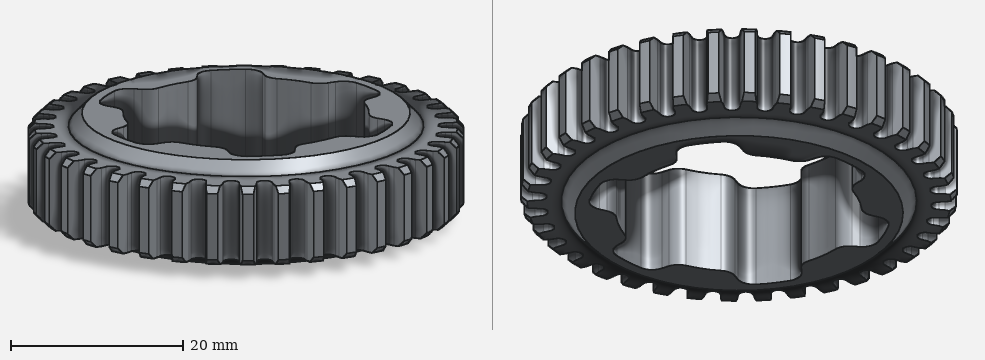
import cadquery as cq
import math

tip_radius = 25.35
hub_height = 12.7
gear_width = 9.55

hub_base_radius = 20.65
hub_top_radius = 19.05

tooth_count = 38
tip_chamfer = 0.75
root_radius = 22.35
root_arc_radius = 0.9
flank_kink_radius = 24.0
flank_kink_half_gap = 1.0
tip_half_gap = 1.45

bore_radius = 17.65
land_count = 6
land_radius = 14.3
land_half_width = 3.25
land_flank_angle = 39.0
land_fillet = 2.05

overrun = 1.0


def make_body():
    """Revolve the toothed band together with its two conical hub faces."""
    half_gear = gear_width / 2
    half_hub = hub_height / 2
    upper_profile = [
        (tip_radius, half_gear - tip_chamfer),
        (tip_radius - tip_chamfer, half_gear),
        (hub_base_radius, half_gear),
        (hub_top_radius, half_hub),
    ]
    lower_profile = [(r, -z) for r, z in reversed(upper_profile)]
    profile = [(0, half_hub), (0, -half_hub)] + lower_profile + upper_profile
    return cq.Workplane("XZ").polyline(profile).close().revolve(360, (0, 0), (0, 1))


def make_tooth_gap():
    """Cutter for one tooth gap, centred on the +X axis."""
    root_centre = root_radius + root_arc_radius
    outer = tip_radius + overrun
    return (
        cq.Workplane("XY")
        .workplane(offset=-gear_width / 2)
        .moveTo(root_centre, -root_arc_radius)
        .threePointArc((root_radius, 0), (root_centre, root_arc_radius))
        .lineTo(flank_kink_radius, flank_kink_half_gap)
        .lineTo(tip_radius, tip_half_gap)
        .lineTo(outer, tip_half_gap)
        .lineTo(outer, -tip_half_gap)
        .lineTo(tip_radius, -tip_half_gap)
        .lineTo(flank_kink_radius, -flank_kink_half_gap)
        .close()
        .extrude(gear_width)
    )


def make_bore():
    """Bore cutter: a cylinder relieved by the lands, with rounded corners."""
    base = cq.Workplane("XY").workplane(offset=-hub_height / 2)
    bore = base.circle(bore_radius).extrude(hub_height)
    inner_cylinder = base.circle(land_radius).extrude(hub_height)

    land_start = math.sqrt(land_radius**2 - land_half_width**2)
    land_end = bore_radius + overrun
    end_half_width = land_half_width + (land_end - land_start) * math.tan(math.radians(land_flank_angle))
    land = (
        base.polyline([
            (land_start, -land_half_width),
            (land_end, -end_half_width),
            (land_end, end_half_width),
            (land_start, land_half_width),
        ])
        .close()
        .extrude(hub_height)
        .cut(inner_cylinder)
    )
    land_pitch = 360 / land_count
    for i in range(land_count):
        bore = bore.cut(land.rotate((0, 0, 0), (0, 0, 1), (i + 0.5) * land_pitch))
    return bore.edges("|Z").fillet(land_fillet)


result = make_body().cut(make_bore())

tooth_gap = make_tooth_gap()
tooth_pitch = 360 / tooth_count
for i in range(tooth_count):
    result = result.cut(tooth_gap.rotate((0, 0, 0), (0, 0, 1), (i + 0.5) * tooth_pitch))